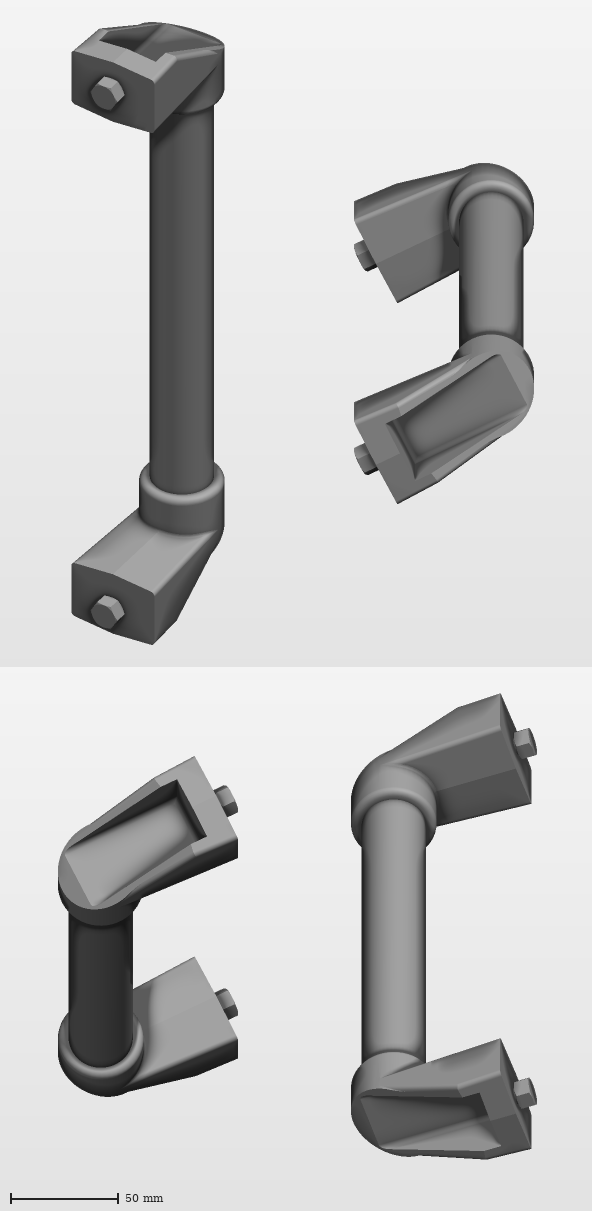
import cadquery as cq
import math


HALF_HEIGHT = 165.0

TUBE_DIA = 30.0
COLLAR_DIA = 40.0
COLLAR_RIM = 111.0
COLLAR_RIM_FILLET = 3.0
COLLAR_RADIUS = COLLAR_DIA / 2

BASE_Y = -60.0
BASE_WIDTH = 46.0
ARM_HEIGHT = 34.3
RIDGE_RISE = 2.0
ARM_EDGE_FILLET = 2.3
COLLAR_JOINT_FILLET = 1.3
ARM_INNER = HALF_HEIGHT - ARM_HEIGHT
TUBE_END = ARM_INNER

SLOPE_START_Y = -41.5
SLOPE_END_Z = 132.3
SLOPE_RATE = (HALF_HEIGHT - SLOPE_END_Z) / (COLLAR_RADIUS - SLOPE_START_Y)

POCKET_WIDTH = 31.5
POCKET_BACK_Y = 12.0
POCKET_FRONT_Y = -47.5
POCKET_FLOOR_FILLET = 2.3
POCKET_FLOOR_Z = HALF_HEIGHT - SLOPE_RATE * (POCKET_BACK_Y - SLOPE_START_Y)

STUD_Z = 149.8
STUD_DIA = 8.0
STUD_EMBED = 10.0
NUT_GAP = 1.0
NUT_HEIGHT = 7.3
NUT_FLATS = 13.0
NUT_SIDES = 6
NUT_BEVEL_ANGLE = math.radians(30)
NUT_CORNERS = NUT_FLATS / math.cos(math.pi / NUT_SIDES)
NUT_BEVEL_DEPTH = (NUT_CORNERS - NUT_FLATS) / 2
NUT_BEVEL_HEIGHT = NUT_BEVEL_DEPTH * math.tan(NUT_BEVEL_ANGLE)


def slope_z(y):
    """Height of the sloped back at a given y."""
    return HALF_HEIGHT - SLOPE_RATE * (y - SLOPE_START_Y)


def above_slope():
    """Everything outside the sloped back, as a wedge to cut away."""
    past_y = COLLAR_DIA
    before_y = 2 * BASE_Y
    return (
        cq.Workplane("YZ")
        .polyline([
            (past_y, slope_z(past_y)),
            (past_y, slope_z(before_y)),
            (before_y, slope_z(before_y)),
        ])
        .close()
        .extrude(BASE_WIDTH, both=True)
    )


def arm():
    """Widening arm with ridged outer and inner faces, a sloped back and rounded long edges."""
    half_base = BASE_WIDTH / 2
    plan = (
        cq.Workplane("XY")
        .polyline([
            (-COLLAR_RADIUS, 0),
            (COLLAR_RADIUS, 0),
            (half_base, BASE_Y),
            (-half_base, BASE_Y),
        ])
        .close()
        .extrude(HALF_HEIGHT)
    )
    section = (
        cq.Workplane("XZ")
        .polyline([
            (-half_base, HALF_HEIGHT - RIDGE_RISE),
            (0, HALF_HEIGHT),
            (half_base, HALF_HEIGHT - RIDGE_RISE),
            (half_base, ARM_INNER + RIDGE_RISE),
            (0, ARM_INNER),
            (-half_base, ARM_INNER + RIDGE_RISE),
        ])
        .close()
        .extrude(-BASE_Y)
    )
    body = plan.intersect(section).cut(above_slope())
    side_faces = body.faces("<X or >X")
    long_edges = side_faces.edges("not(#Y or |Z)")
    return long_edges.fillet(ARM_EDGE_FILLET)


def collar():
    """Round collar with a rounded rim, cut off by the slope."""
    return (
        cq.Workplane("XY", origin=(0, 0, COLLAR_RIM))
        .circle(COLLAR_RADIUS)
        .extrude(HALF_HEIGHT - COLLAR_RIM)
        .faces("<Z")
        .edges()
        .fillet(COLLAR_RIM_FILLET)
        .cut(above_slope())
    )


def pocket():
    """Straight-walled pocket rounded along its floor, running past the back of the collar."""
    length = COLLAR_DIA - POCKET_FRONT_Y
    middle_y = (COLLAR_DIA + POCKET_FRONT_Y) / 2
    return (
        cq.Workplane("XY", origin=(0, middle_y, POCKET_FLOOR_Z))
        .rect(POCKET_WIDTH, length)
        .extrude(HALF_HEIGHT - POCKET_FLOOR_Z)
        .faces("<Z")
        .edges("|Y or <Y")
        .fillet(POCKET_FLOOR_FILLET)
    )


def rounded_joint(body):
    """Fillet the curves where the front of the collar meets the arm's inner faces and edges."""
    low_corner = (-COLLAR_RADIUS, -COLLAR_DIA, ARM_INNER - ARM_EDGE_FILLET)
    high_corner = (COLLAR_RADIUS, 0, ARM_INNER + RIDGE_RISE + ARM_EDGE_FILLET)
    joint_zone = cq.selectors.BoxSelector(low_corner, high_corner)
    joint_curves = body.edges(joint_zone).edges("not %LINE")
    return joint_curves.fillet(COLLAR_JOINT_FILLET)


def make_tube():
    """Solid round grip reaching into both collars."""
    return (
        cq.Workplane("XY", origin=(0, 0, -TUBE_END))
        .circle(TUBE_DIA / 2)
        .extrude(2 * TUBE_END)
    )


def make_stud():
    """Stud standing out of the mounting face, flush with the end of the nut."""
    return (
        cq.Workplane("XZ", origin=(0, BASE_Y + STUD_EMBED, STUD_Z))
        .circle(STUD_DIA / 2)
        .extrude(STUD_EMBED + NUT_GAP + NUT_HEIGHT)
    )


def make_nut():
    """Hex nut on the stud: two flats square to the tube, corners bevelled at both ends."""
    plane = cq.Workplane("XZ", origin=(0, BASE_Y - NUT_GAP, STUD_Z))
    hexagon = plane.polygon(NUT_SIDES, NUT_CORNERS).extrude(NUT_HEIGHT)
    bevelled_blank = (
        plane
        .circle(NUT_CORNERS / 2)
        .extrude(NUT_HEIGHT)
        .faces("<Y or >Y")
        .chamfer(NUT_BEVEL_HEIGHT, NUT_BEVEL_DEPTH)
    )
    return hexagon.intersect(bevelled_blank).cut(make_stud())


def make_bracket():
    """Arm and collar in one piece, with the pocket and the seats for the tube and stud."""
    return rounded_joint(arm().union(collar())).cut(pocket()).cut(make_tube()).cut(make_stud())


def both_ends(body):
    """The body at the upper end and its mirror image at the lower end."""
    upper = body.val()
    return [upper, upper.mirror("XY")]


tube = make_tube()
brackets = both_ends(make_bracket())
studs = both_ends(make_stud())
nuts = both_ends(make_nut())

result = cq.Compound.makeCompound([tube.val(), *brackets, *studs, *nuts])